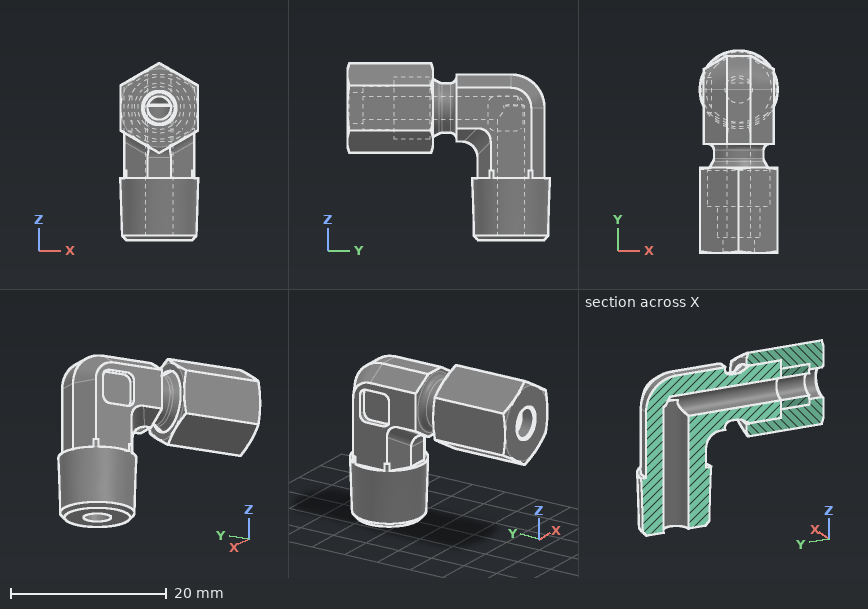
import cadquery as cq
import math


HEX_HALF_SECTOR = math.radians(30)

LEG_FLATS = 9.0
LEG_DEPTH = 8.65
ARM_END = 7.0
INNER_FILLET = 2.0

THREAD_TOP = 9.0
THREAD_END = 17.0
THREAD_TOP_RADIUS = 5.02
THREAD_TAPER = 1 / 16
LEAD_HEIGHT = 0.62
LEAD_DEPTH = 0.57
TURNED_HEIGHT = 1.0

SPIGOT_DIAMETER = 8.0
NECK_DIAMETER = 6.4
NECK_FILLET = (SPIGOT_DIAMETER - NECK_DIAMETER) / 2
NECK_LENGTH = 1.05
NECK_FLARE = 30
SPIGOT_END = 15.0

ARM_BORE_DIAMETER = 3.0
LEG_BORE_DIAMETER = 3.5
DRILL_ANGLE = 118
ARM_BORE_OVERRUN = 0.83
LEG_BORE_OVERRUN = 0.25

POCKET_SIZE = 4.48
POCKET_CORNER = 1.0
POCKET_DEPTH = 1.0
POCKET_OFFSET = 0.7

NUT_FLATS = 10.0
NUT_START = 10.0
NUT_END = 21.0
NUT_CHAMFER_ANGLE = 18
NUT_HOLE_DIAMETER = 4.0
NUT_HOLE_CHAMFER = 0.2
SLEEVE_END = 19.0
SLEEVE_DIAMETER = 5.5


def along_arm(shape):
    """Turn a shape built along +Z so that it lies along -Y."""
    return shape.rotate((0, 0, 0), (1, 0, 0), 90)


def cylinder(diameter, start, end):
    return cq.Workplane("XY").workplane(offset=start).circle(diameter / 2).extrude(end - start)


def leg_section():
    """Corners of the section: a hexagon with its +Y and -Y points ground off."""
    half_width = LEG_FLATS / 2
    half_depth = LEG_DEPTH / 2
    side = half_width * math.tan(HEX_HALF_SECTOR)
    top = half_width - (half_depth - side) / math.tan(HEX_HALF_SECTOR)
    return [
        (half_width, -side), (half_width, side), (top, half_depth), (-top, half_depth),
        (-half_width, side), (-half_width, -side), (-top, -half_depth), (top, -half_depth),
    ]


def crook_notch(side_start, side_end):
    """Space outside one side of the leg and the same side of the arm, its inner edge rounded."""
    (x0, y0), (x1, y1) = side_start, side_end
    stretch = LEG_FLATS / math.hypot(x1 - x0, y1 - y0)
    dx = (x1 - x0) * stretch
    dy = (y1 - y0) * stretch
    reach = 2 * THREAD_END
    outline = [(x0 - dx, y0 - dy), (x1 + dx, y1 + dy), (x1 + dx, -reach), (x0 - dx, -reach)]
    beside_leg = cq.Workplane("XY").polyline(outline).close().extrude(reach, both=True)
    inner_edge = cq.selectors.NearestToPointSelector(((x0 + x1) / 2, (y0 + y1) / 2, (y0 + y1) / 2))
    return beside_leg.intersect(along_arm(beside_leg)).edges(inner_edge).fillet(INNER_FILLET)


def make_knee():
    """Hexagonal leg and arm, joined by a turned outer corner and a filleted crook."""
    half_width = LEG_FLATS / 2
    section = leg_section()
    leg = cq.Workplane("XY").polyline(section).close().extrude(-THREAD_TOP)
    arm = along_arm(cq.Workplane("XY").polyline(section).close().extrude(ARM_END))
    outer_half = [(half_width, 0), *section[1:5], (-half_width, 0)]
    corner = cq.Workplane("XY").polyline(outer_half).close().revolve(90, (0, 0, 0), (1, 0, 0))
    crook = cq.Workplane("XY").box(LEG_FLATS, ARM_END, THREAD_TOP, centered=(True, False, False))
    crook = crook.translate((0, -ARM_END, -THREAD_TOP))
    inner_sides = zip(section[5:], section[6:] + section[:1])
    for side_start, side_end in inner_sides:
        crook = crook.cut(crook_notch(side_start, side_end))
    knee = leg.union(arm).union(corner).union(crook)

    turned_top = TURNED_HEIGHT - THREAD_TOP
    turned = cylinder(2 * THREAD_TOP_RADIUS, -THREAD_TOP, turned_top)
    corners = cq.Workplane("XY").workplane(offset=-THREAD_TOP).rect(2 * LEG_FLATS, 2 * LEG_FLATS)
    corners = corners.extrude(TURNED_HEIGHT).cut(turned)
    return knee.cut(corners)


def make_thread():
    lead_start = THREAD_END - LEAD_HEIGHT
    lead_radius = THREAD_TOP_RADIUS - (lead_start - THREAD_TOP) * THREAD_TAPER / 2
    profile = [
        (0, -THREAD_TOP), (THREAD_TOP_RADIUS, -THREAD_TOP), (lead_radius, -lead_start),
        (lead_radius - LEAD_DEPTH, -THREAD_END), (0, -THREAD_END),
    ]
    return cq.Workplane("XZ").polyline(profile).close().revolve(360, (0, 0, 0), (0, 1, 0))


def make_spigot():
    """Undercut neck and spigot, with equal fillets at both ends of the neck."""
    neck = NECK_DIAMETER / 2
    spigot = SPIGOT_DIAMETER / 2
    flare = math.radians(NECK_FLARE)
    neck_start = ARM_END + NECK_FILLET
    neck_end = neck_start + NECK_LENGTH

    def on_flare_fillet(angle):
        return (
            neck + NECK_FILLET * (1 - math.cos(angle)),
            neck_end + NECK_FILLET * math.sin(angle),
        )

    flare_start = on_flare_fillet(flare)
    flare_end = flare_start[1] + (spigot - flare_start[0]) / math.tan(flare)
    middle = NECK_FILLET * math.sin(math.radians(45))
    profile = (
        cq.Workplane("XZ")
        .moveTo(0, ARM_END)
        .lineTo(spigot, ARM_END)
        .threePointArc((spigot - middle, neck_start - middle), (neck, neck_start))
        .lineTo(neck, neck_end)
        .threePointArc(on_flare_fillet(flare / 2), flare_start)
        .lineTo(spigot, flare_end)
        .lineTo(spigot, SPIGOT_END)
        .lineTo(0, SPIGOT_END)
        .close()
    )
    return along_arm(profile.revolve(360, (0, 0, 0), (0, 1, 0)))


def drill(diameter, start, depth):
    """Drill body from a full-diameter depth up to its start, with a conical tip."""
    radius = diameter / 2
    tip = radius / math.tan(math.radians(DRILL_ANGLE / 2))
    profile = [(0, depth - tip), (radius, depth), (radius, start), (0, start)]
    return cq.Workplane("XZ").polyline(profile).close().revolve(360, (0, 0, 0), (0, 1, 0))


def make_pocket():
    block = cq.Workplane("YZ").workplane(offset=-LEG_FLATS / 2).center(-POCKET_OFFSET, -POCKET_OFFSET)
    return block.rect(POCKET_SIZE, POCKET_SIZE).extrude(POCKET_DEPTH).edges("|X").fillet(POCKET_CORNER)


def make_elbow():
    elbow = make_knee().union(make_thread()).union(make_spigot())
    arm_bore = along_arm(drill(ARM_BORE_DIAMETER, SPIGOT_END, -ARM_BORE_OVERRUN))
    leg_bore = drill(LEG_BORE_DIAMETER, THREAD_END, -LEG_BORE_OVERRUN).rotate((0, 0, 0), (1, 0, 0), 180)
    return elbow.cut(arm_bore).cut(leg_bore).cut(make_pocket())


def make_nut():
    """Hexagon nut with points up and down, both ends chamfered."""
    point_radius = NUT_FLATS / 2 / math.cos(HEX_HALF_SECTOR)
    face_radius = NUT_FLATS / 2
    bevel = (point_radius - face_radius) * math.tan(math.radians(NUT_CHAMFER_ANGLE))
    blank = cq.Workplane("XY").workplane(offset=NUT_START).polygon(6, 2 * point_radius)
    blank = blank.extrude(NUT_END - NUT_START).rotate((0, 0, 0), (0, 0, 1), math.degrees(HEX_HALF_SECTOR))
    envelope = cylinder(2 * point_radius, NUT_START, NUT_END)
    envelope = envelope.faces("<Z or >Z").chamfer(bevel, point_radius - face_radius)
    nut = blank.intersect(envelope)
    nut = nut.cut(cylinder(SPIGOT_DIAMETER, NUT_START, SPIGOT_END))
    nut = nut.cut(cylinder(SLEEVE_DIAMETER, SPIGOT_END, SLEEVE_END))
    nut = nut.cut(cylinder(NUT_HOLE_DIAMETER, SLEEVE_END, NUT_END))
    nut = nut.faces(">Z").edges(cq.selectors.RadiusNthSelector(0)).chamfer(NUT_HOLE_CHAMFER)
    return along_arm(nut)


def make_sleeve():
    """Sleeve held between the spigot end and the shoulder inside the nut."""
    sleeve = cylinder(SLEEVE_DIAMETER, SPIGOT_END, SLEEVE_END)
    return along_arm(sleeve.cut(cylinder(ARM_BORE_DIAMETER, SPIGOT_END, SLEEVE_END)))


elbow = make_elbow()
nut = make_nut()
sleeve = make_sleeve()
result = cq.Compound.makeCompound([elbow.val(), nut.val(), sleeve.val()])